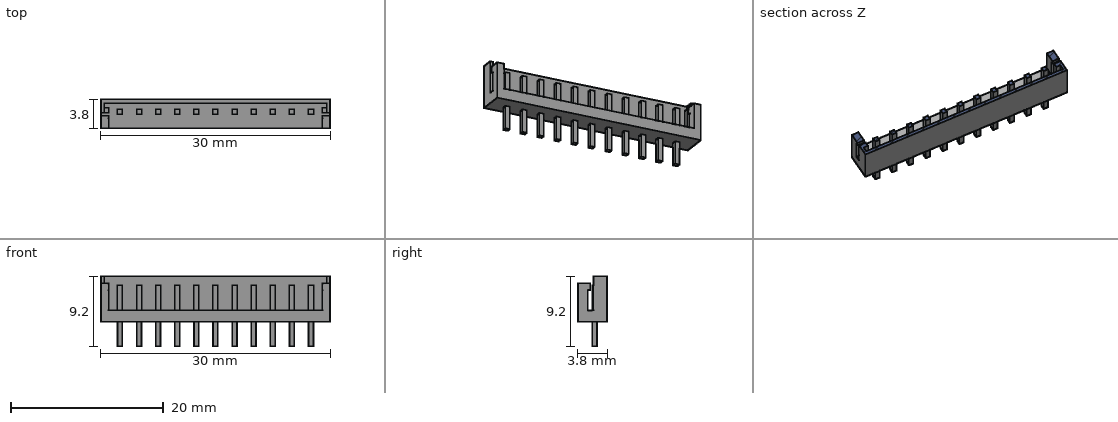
import cadquery as cq

length = 30.0
depth = 3.8
height = 6.0
floor_thickness = 1.5
back_wall = 0.5

end_wall = 0.42
end_wall_reach = 1.8
post_width = 1.02
post_height = height - 0.93
rib_height = 5.0
rib_depth = 0.65

post_depth = 1.32
lip_reach = 0.3
lip_height = 0.9

pin_count = 11
pin_pitch = length / (pin_count + 1)
pin_size = 0.65
pin_setback = 1.62
pin_top = height - 1.2
pin_tail = 3.2


def block(x_range, y_range, z_range):
    """Box spanning the given (low, high) ranges."""
    size = [high - low for low, high in (x_range, y_range, z_range)]
    corner = (x_range[0], y_range[0], z_range[0])
    return cq.Workplane("XY").box(*size, centered=False).translate(corner)


def make_base():
    """Floor slab with the full-height back wall."""
    span = (-length / 2, length / 2)
    floor = block(span, (-depth, 0), (0, floor_thickness))
    wall = block(span, (-back_wall, 0), (0, height))
    return floor.union(wall)


def make_left_end():
    """End wall, rib and lipped post at the -X end."""
    outer = -length / 2
    inner = outer + post_width
    wall = block((outer, outer + end_wall), (-end_wall_reach, 0), (0, height))
    rib = block((outer, inner), (-end_wall_reach, -end_wall_reach + rib_depth), (0, rib_height))
    post_back = -depth + post_depth
    post = block((outer, inner), (-depth, post_back), (0, post_height))
    lip = block((outer, inner), (-depth, post_back + lip_reach), (post_height - lip_height, post_height))
    return wall.union(rib).union(post).union(lip)


def make_pin(x):
    """Square pin through the floor at the given X."""
    half = pin_size / 2
    return block((x - half, x + half), (-pin_setback - half, -pin_setback + half), (-pin_tail, pin_top))


left_end = make_left_end()
result = make_base().union(left_end).union(left_end.mirror("YZ"))
for index in range(pin_count):
    result = result.union(make_pin((index - (pin_count - 1) / 2) * pin_pitch))